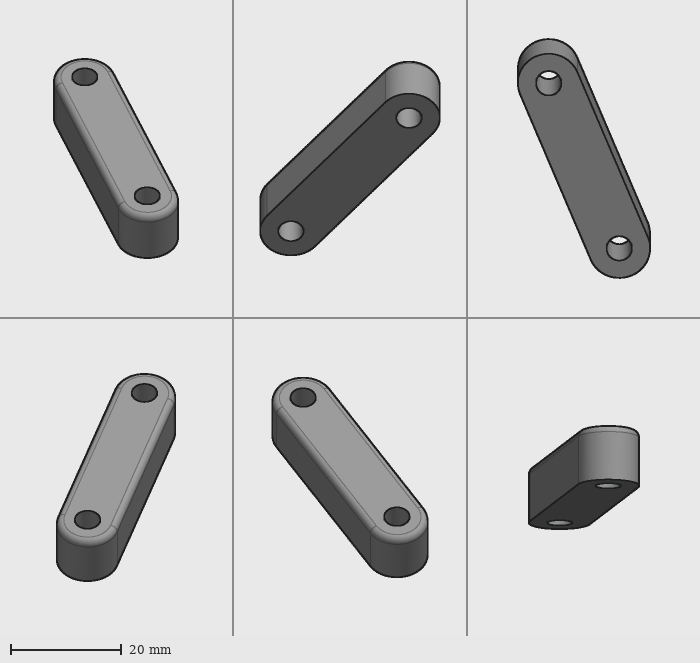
import cadquery as cq

length = 44.9
width = 11.2
height = 10.15
top_fillet = 1.25
hole_diameter = 4.6

hole_spacing = length - width

body = cq.Workplane("XY").slot2D(length, width).extrude(height)

body = body.faces(">Z").edges().fillet(top_fillet)

holes = (
    cq.Workplane("XY")
    .rarray(hole_spacing, 0.45, 2, 1)
    .circle(hole_diameter / 2)
    .extrude(height)
)

result = body.cut(holes)